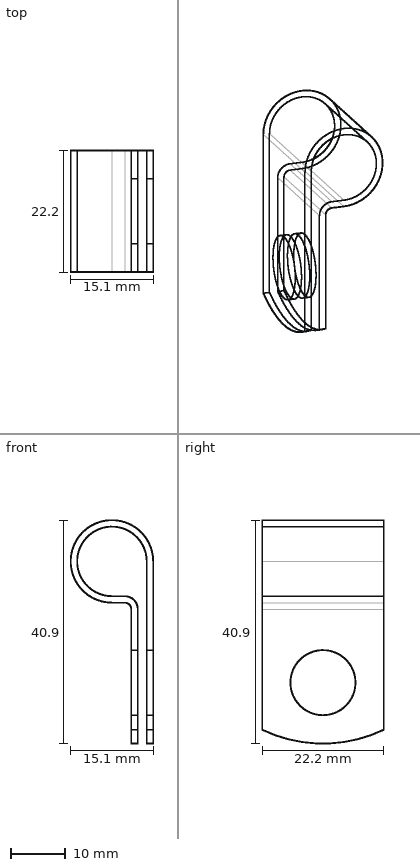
import cadquery as cq
import math

height = 40.9
width = 22.25
loop_radius = 7.55
thickness = 1.23
leg_gap = 1.6
bend_inner_radius = 1.2
hole_diameter = 11.85
hole_height = 11.15
end_rise = 2.55

bore_radius = loop_radius - thickness
bottom_z = loop_radius - height
short_leg_right = bore_radius - leg_gap
short_leg_left = short_leg_right - thickness
bend_outer_radius = bend_inner_radius + thickness
bend_x = short_leg_right - bend_outer_radius
bend_z = -bore_radius - bend_outer_radius
diagonal = math.sqrt(0.5)


def make_strip():
    """Bent strip: long leg, three-quarter loop, bend and short leg."""
    return (
        cq.Workplane("XZ")
        .moveTo(loop_radius, bottom_z)
        .lineTo(loop_radius, 0)
        .threePointArc((-loop_radius * diagonal, loop_radius * diagonal), (0, -loop_radius))
        .lineTo(bend_x, -loop_radius)
        .threePointArc(
            (bend_x + bend_inner_radius * diagonal, bend_z + bend_inner_radius * diagonal),
            (short_leg_left, bend_z),
        )
        .lineTo(short_leg_left, bottom_z)
        .lineTo(short_leg_right, bottom_z)
        .lineTo(short_leg_right, bend_z)
        .threePointArc(
            (bend_x + bend_outer_radius * diagonal, bend_z + bend_outer_radius * diagonal),
            (bend_x, -bore_radius),
        )
        .lineTo(0, -bore_radius)
        .threePointArc((-bore_radius * diagonal, bore_radius * diagonal), (bore_radius, 0))
        .lineTo(bore_radius, bottom_z)
        .close()
        .extrude(width / 2, both=True)
    )


def make_side_outline():
    """Block with a rounded lower end, used to trim both legs."""
    corner_z = bottom_z + end_rise
    return (
        cq.Workplane("YZ")
        .moveTo(-width / 2, loop_radius)
        .lineTo(-width / 2, corner_z)
        .threePointArc((0, bottom_z), (width / 2, corner_z))
        .lineTo(width / 2, loop_radius)
        .close()
        .extrude(loop_radius, both=True)
    )


def make_bolt_hole():
    """Cylinder along X that passes through both legs."""
    return (
        cq.Workplane("YZ")
        .center(0, bottom_z + hole_height)
        .circle(hole_diameter / 2)
        .extrude(loop_radius, both=True)
    )


result = make_strip().intersect(make_side_outline()).cut(make_bolt_hole())